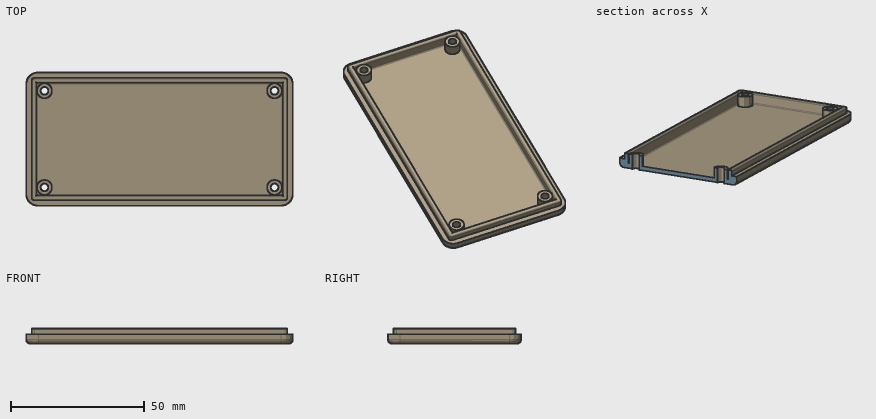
import cadquery as cq

length = 100.0
width = 50.0
height = 5.8
plate_thickness = 3.6
corner_radius = 4.5
bottom_fillet = 1.8

lip_inset = 2.1
lip_corner_radius = 1.0
edge_fillet = 0.3

floor_thickness = 1.8
cavity_inset = 3.9

boss_diameter = 5.6
hole_diameter = 2.8
boss_inset = 6.9
boss_spacing_x = length - 2 * boss_inset
boss_spacing_y = width - 2 * boss_inset


def make_plate():
    plate = cq.Workplane("XY").box(length, width, plate_thickness, centered=(True, True, False))
    return plate.edges("|Z").fillet(corner_radius).faces("<Z").edges().fillet(bottom_fillet)


def make_lip():
    lip = (
        cq.Workplane("XY")
        .workplane(offset=floor_thickness)
        .rect(length - 2 * lip_inset, width - 2 * lip_inset)
        .extrude(height - floor_thickness)
    )
    return lip.edges("|Z").fillet(lip_corner_radius)


def make_cavity():
    cavity = (
        cq.Workplane("XY")
        .workplane(offset=floor_thickness)
        .rect(length - 2 * cavity_inset, width - 2 * cavity_inset)
        .extrude(height - floor_thickness)
    )
    return cavity.faces("<Z").edges().fillet(edge_fillet)


def corner_cylinders(diameter, bottom):
    return (
        cq.Workplane("XY")
        .workplane(offset=bottom)
        .rect(boss_spacing_x, boss_spacing_y, forConstruction=True)
        .vertices()
        .circle(diameter / 2)
        .extrude(height - bottom)
    )


tray = make_plate().union(make_lip()).cut(make_cavity())
tray = tray.faces(">Z").edges().fillet(edge_fillet)
bosses = corner_cylinders(boss_diameter, floor_thickness)
result = tray.union(bosses).cut(corner_cylinders(hole_diameter, 0))